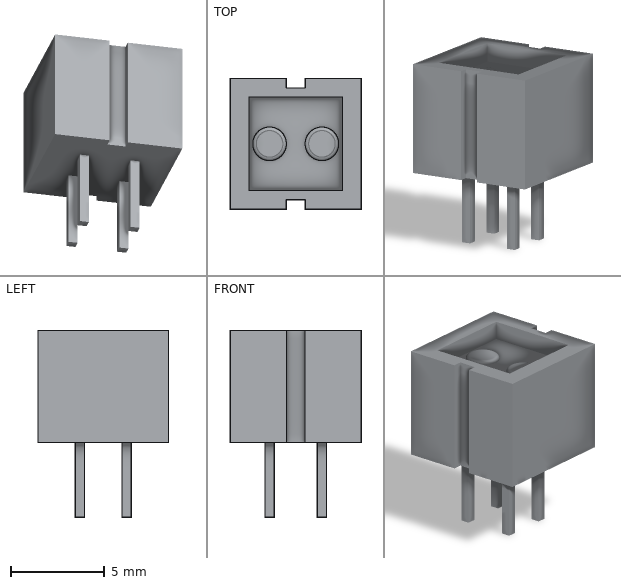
import cadquery as cq

housing_x = 7.01
housing_y = 7.0
housing_height = 6.0
pocket_side = 5.0
pocket_depth = 1.0
groove_width = 1.0
groove_depth = 0.5

lens_diameter = 1.8
lens_height = 0.2
lens_rounding = 0.19
lens_spacing = 2.8

pin_side = 0.5
pin_length = 4.0
pin_spacing_x = 2.8
pin_spacing_y = 2.5

floor_z = housing_height - pocket_depth


def make_housing():
    """Block with an open pocket on top and a vertical groove in the -Y and +Y sides."""
    block = cq.Workplane("XY").box(housing_x, housing_y, housing_height, centered=(True, True, False))
    pocket = (
        cq.Workplane("XY", origin=(0, 0, floor_z))
        .rect(pocket_side, pocket_side)
        .extrude(pocket_depth)
    )
    grooves = (
        cq.Workplane("XY")
        .pushPoints([(0, -housing_y / 2), (0, housing_y / 2)])
        .rect(groove_width, 2 * groove_depth)
        .extrude(housing_height)
    )
    return block.cut(pocket).cut(grooves)


def make_lens(x):
    """Round disc with a rounded top edge, resting on the pocket floor."""
    return (
        cq.Workplane("XY", origin=(x, 0, floor_z))
        .circle(lens_diameter / 2)
        .extrude(lens_height)
        .faces(">Z")
        .edges()
        .fillet(lens_rounding)
    )


def make_pin(x, y):
    """Square pin hanging from the underside of the housing."""
    return cq.Workplane("XY", origin=(x, y, 0)).rect(pin_side, pin_side).extrude(-pin_length)


housing = make_housing()
lenses = [make_lens(side * lens_spacing / 2) for side in (-1, 1)]
pins = [
    make_pin(side_x * pin_spacing_x / 2, side_y * pin_spacing_y / 2)
    for side_x in (-1, 1)
    for side_y in (-1, 1)
]

bodies = [housing, *lenses, *pins]
result = cq.Compound.makeCompound([body.val() for body in bodies])